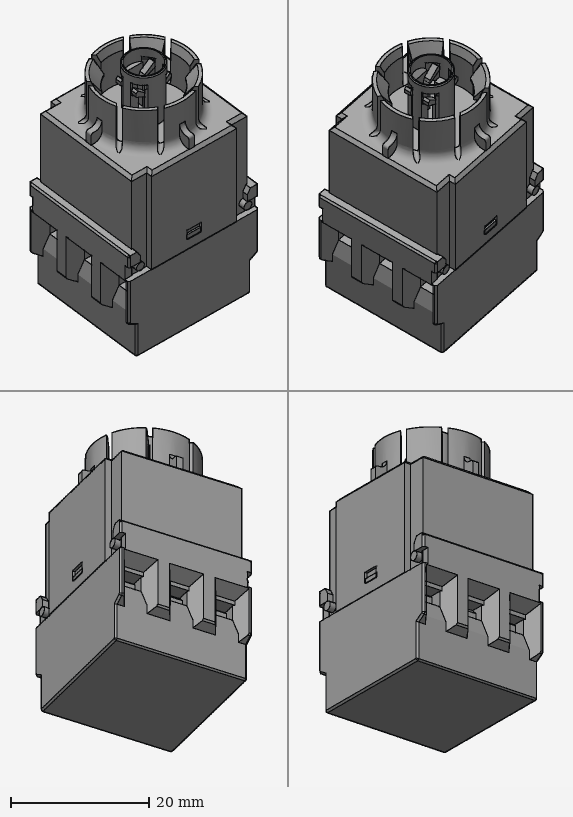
import cadquery as cq
import math

total_height = 43.0
body_width = 22.2
base_width = 22.0
skirt_depth = 25.0
edge_chamfer = 0.3
foot_bevel = 0.25

skirt_low_z = 6.15
skirt_edge_z = 6.92
skirt_bevel = 0.17
base_top_z = 15.2
lug_low_z = 17.75
plate_top_z = 20.05
deck_z = 33.45
collar_top_z = 41.0

notch_half_x = 10.0
notch_half_y = 8.15
deck_chamfer = 0.55

plate_end_x = 10.15
lug_inner_y = 10.28
lug_top_y = 10.9
lug_slope_z = 19.05
pin_diameter = 1.5
pin_y = 10.3

funnel_pitch = 7.6
funnel_half_mouth = 2.85
funnel_top_z = 14.95
hole_half_width = 1.38
hole_low_z = 10.28
hole_top_z = 12.75
lintel_top_z = 13.45
lintel_y = -10.5
sill_y = -10.2
ramp_low_z = 7.55
hole_depth = 2.15
middle_clamp_rise = 0.8
outer_clamp_rise = 0.3

collar_radius = 8.5
collar_inner_radius = 7.3
collar_mouth_radius = 7.9
mouth_depth = 1.4
flare_radius = 1.5
slot_offset = 3.0
slot_width = 0.9
slot_floor_z = deck_z + 0.01
lip_radius = 6.25
lip_edge_z = 38.6
lip_thickness = 0.35
lip_angle = 38.0

fin_width = 1.08
fin_outer = 10.58
fin_shelf_z = 35.6
fin_curve_radius = 1.3
fin_corner_radius = 0.45
fin_root = 0.45

tube_radius = 6.8 / 2
tube_bore_radius = 6.05 / 2
tube_chamfer = 0.17
window_top_z = 41.4
window_x = 0.8
window_y = 1.75
shelf_x = 2.25
shelf_z = 40.55
ramp_shelf_inner_z = 40.08
ramp_shelf_outer_z = 41.25
tab_z = 38.7
hook_inner_x = 1.15
hook_crest_y = 3.05
hook_crest_z = 40.6
hook_nose_drop = 0.35
hook_thickness = 0.65
hook_tip_z = 37.4
long_hook_step_y = 1.2
long_hook_step_z = 39.15
long_hook_tip_y = 0.75
short_hook_step_y = 1.7
short_hook_step_z = 39.17
short_hook_tip_y = 1.05

latch_half_width = 1.38
latch_low_z = 17.05
latch_step_z = 17.9
latch_top_z = 18.88
latch_deep = 0.45
latch_shallow = 0.15
latch_corner_radius = 0.2

half_body = body_width / 2
half_base = base_width / 2
half_skirt = skirt_depth / 2


def box(x_range, y_range, z_range):
    """Box between pairs of limits."""
    spans = (x_range, y_range, z_range)
    size = [high - low for low, high in spans]
    return cq.Workplane("XY").box(*size, centered=False).translate([low for low, _ in spans])


def yz_prism(points, x_low, x_high):
    """Closed YZ outline swept from x_low to x_high."""
    prism = cq.Workplane("YZ").polyline(points).close().extrude(x_high - x_low)
    return prism.translate((x_low, 0, 0))


def ring_sector(points, angle):
    """Closed (radius, Z) outline turned about the Z axis, centred on +X."""
    turned = cq.Workplane("XZ").polyline(points).close().revolve(angle, (0, 0, 0), (0, 1, 0))
    return turned.rotate((0, 0, 0), (0, 0, 1), -angle / 2)


def turned_about_z(shape, degrees):
    return shape.rotate((0, 0, 0), (0, 0, 1), degrees)


def make_base():
    """Foot, overhanging skirts and skirt plates."""
    right_side = [
        (half_base - foot_bevel, 0),
        (half_base, foot_bevel),
        (half_base, skirt_low_z),
        (half_skirt - skirt_bevel, skirt_edge_z),
        (half_skirt, skirt_edge_z + 2 * skirt_bevel),
        (half_skirt, plate_top_z - edge_chamfer),
        (half_skirt - edge_chamfer, plate_top_z),
    ]
    left_side = [(-y, z) for y, z in reversed(right_side)]
    base = yz_prism(right_side + left_side, -half_base, half_base)
    base = base.faces("<X or >X").edges().chamfer(edge_chamfer)
    base = base.cut(box((-half_body, half_body), (-half_body, half_body), (base_top_z, plate_top_z)))
    for side in (-1, 1):
        end = sorted((side * plate_end_x, side * half_skirt))
        base = base.cut(box(end, (-half_skirt, half_skirt), (base_top_z, lug_low_z)))
    return base


def make_upper_housing():
    """Square housing with a notch down each corner."""
    height = deck_z - base_top_z
    across = cq.Workplane("XY").rect(body_width, 2 * notch_half_y).extrude(height)
    along = cq.Workplane("XY").rect(2 * notch_half_x, body_width).extrude(height)
    housing = across.union(along).faces(">Z").edges().chamfer(deck_chamfer)
    return housing.translate((0, 0, base_top_z))


def make_corner_lug():
    """Lug and pin in the -X, -Y corner notch."""
    lug_outline = [
        (-half_skirt + edge_chamfer, lug_low_z),
        (-lug_inner_y, lug_low_z),
        (-lug_inner_y, lug_slope_z),
        (-lug_top_y, plate_top_z),
        (-half_skirt + edge_chamfer, plate_top_z),
    ]
    lug = yz_prism(lug_outline, -half_base, -notch_half_x)
    pin_z = lug_low_z - pin_diameter / 2
    pin = cq.Workplane("YZ").center(-pin_y, pin_z).circle(pin_diameter / 2).extrude(half_body - notch_half_x)
    return lug.union(pin.translate((-half_body, 0, 0)))


def make_funnel(clamp_rise):
    """Cutter for one terminal funnel on the -Y side, centred on X = 0."""
    side_outline = [
        (-half_skirt, skirt_low_z - edge_chamfer),
        (-half_skirt, funnel_top_z),
        (lintel_y, lintel_top_z),
        (lintel_y, hole_top_z),
        (sill_y, hole_top_z),
        (sill_y, hole_low_z),
        (-half_base, ramp_low_z),
        (-half_base, skirt_low_z - edge_chamfer),
    ]
    plan = [
        (-funnel_half_mouth, -half_skirt),
        (funnel_half_mouth, -half_skirt),
        (hole_half_width, sill_y),
        (-hole_half_width, sill_y),
    ]
    mouth = yz_prism(side_outline, -funnel_half_mouth, funnel_half_mouth)
    mouth = mouth.intersect(cq.Workplane("XY").polyline(plan).close().extrude(plate_top_z))
    back_y = sill_y + hole_depth
    clamp_front_y = back_y - clamp_rise
    hole_outline = [
        (sill_y, hole_low_z),
        (clamp_front_y, hole_low_z),
        (clamp_front_y, hole_top_z - clamp_rise),
        (back_y, hole_top_z),
        (sill_y, hole_top_z),
    ]
    return mouth.union(yz_prism(hole_outline, -hole_half_width, hole_half_width))


def make_latch_recess():
    """Stepped shallow recess cutter with rounded lower corners, on the -X side."""
    width = (-latch_half_width, latch_half_width)
    upper = box((-half_body, -half_body + latch_deep), width, (latch_step_z, latch_top_z))
    lower = box((-half_body, -half_body + latch_shallow), width, (latch_low_z, latch_step_z))
    lower = lower.edges("|X and <Z").fillet(latch_corner_radius)
    return upper.union(lower)


def make_collar():
    """Flared collar with inward lips, split into eight segments by diagonal slots."""
    flare_mid = flare_radius * (1 - math.sqrt(0.5))
    collar = (
        cq.Workplane("XZ")
        .moveTo(collar_inner_radius, deck_z)
        .lineTo(collar_radius + flare_radius, deck_z)
        .threePointArc((collar_radius + flare_mid, deck_z + flare_mid), (collar_radius, deck_z + flare_radius))
        .lineTo(collar_radius, collar_top_z)
        .lineTo(collar_mouth_radius, collar_top_z)
        .lineTo(collar_inner_radius, collar_top_z - mouth_depth)
        .close()
        .revolve(360, (0, 0, 0), (0, 1, 0))
    )
    lip = ring_sector(
        [
            (collar_mouth_radius, collar_top_z),
            (lip_radius, lip_edge_z),
            (lip_radius, lip_edge_z - lip_thickness),
            (collar_mouth_radius, lip_edge_z - lip_thickness),
        ],
        lip_angle,
    )
    slot_reach = collar_radius + 2 * flare_radius
    slot_low_z = slot_floor_z + slot_width / 2
    slot = (
        cq.Workplane("YZ")
        .moveTo(-slot_width / 2, total_height)
        .lineTo(-slot_width / 2, slot_low_z)
        .threePointArc((0, slot_floor_z), (slot_width / 2, slot_low_z))
        .lineTo(slot_width / 2, total_height)
        .close()
        .extrude(2 * slot_reach)
        .translate((-slot_reach, 0, 0))
    )
    diagonals = (45, 135, 225, 315)
    for diagonal in diagonals:
        collar = collar.union(turned_about_z(lip, diagonal))
    for diagonal in diagonals:
        collar = collar.cut(turned_about_z(slot.translate((0, slot_offset, 0)), diagonal))
    return collar


def make_fin():
    """Fin on the +X side of the collar, curving up into its wall."""
    curve_end = collar_radius + fin_curve_radius
    curve_mid = fin_curve_radius * (1 - math.sqrt(0.5))
    return (
        cq.Workplane("XZ")
        .moveTo(collar_radius - fin_root, deck_z - deck_chamfer)
        .lineTo(fin_outer, deck_z - deck_chamfer)
        .lineTo(fin_outer, fin_shelf_z)
        .lineTo(curve_end, fin_shelf_z)
        .threePointArc(
            (collar_radius + curve_mid, fin_shelf_z + curve_mid),
            (collar_radius, fin_shelf_z + fin_curve_radius),
        )
        .lineTo(collar_radius - fin_root, fin_shelf_z + fin_curve_radius)
        .close()
        .extrude(fin_width / 2, both=True)
        .edges(cq.selectors.NearestToPointSelector((fin_outer, 0, fin_shelf_z)))
        .fillet(fin_corner_radius)
    )


def make_hook(step_y, step_z, tip_y):
    """Upright leg with an arm that rises outward through a window, in the +X, +Y quarter."""
    outline = [
        (tip_y, deck_z),
        (tip_y, hook_tip_z),
        (step_y, step_z),
        (hook_crest_y, hook_crest_z),
        (tube_radius, hook_crest_z - hook_nose_drop),
        (tube_radius, hook_crest_z - hook_nose_drop - hook_thickness),
        (step_y, step_z - hook_thickness),
        (step_y, deck_z),
    ]
    return yz_prism(outline, hook_inner_x, shelf_x)


def make_tube():
    """Central tube with four windows, two side shelves, two tabs and four hooks."""
    height = total_height - deck_z
    tube = cq.Workplane("XY").circle(tube_radius).extrude(height).faces(">Z").edges().chamfer(tube_chamfer)
    tube = tube.translate((0, 0, deck_z))
    core = cq.Workplane("XY").circle(tube_bore_radius).extrude(height).translate((0, 0, deck_z))
    tube = tube.cut(core)
    flat_shelf = box((-tube_radius, -shelf_x), (-window_y, window_y), (deck_z, shelf_z))
    ramp_outline = [
        (shelf_x, deck_z),
        (tube_radius, deck_z),
        (tube_radius, ramp_shelf_outer_z),
        (shelf_x, ramp_shelf_inner_z),
    ]
    ramp_shelf = cq.Workplane("XZ").polyline(ramp_outline).close().extrude(window_y, both=True)
    tab = box((-window_x, window_x), (window_y, tube_radius), (deck_z, tab_z))
    for inner_block in (flat_shelf, ramp_shelf, tab, tab.mirror("XZ")):
        tube = tube.union(core.intersect(inner_block))
    for x_side in (-1, 1):
        for y_side in (-1, 1):
            x_range = sorted((x_side * window_x, x_side * tube_radius))
            y_range = sorted((y_side * window_y, y_side * tube_radius))
            tube = tube.cut(box(x_range, y_range, (deck_z, window_top_z)))
    long_hook = make_hook(long_hook_step_y, long_hook_step_z, long_hook_tip_y).mirror("YZ")
    short_hook = make_hook(short_hook_step_y, short_hook_step_z, short_hook_tip_y)
    for side in (0, 180):
        tube = tube.union(turned_about_z(long_hook, side)).union(turned_about_z(short_hook, side))
    return tube


part = make_base().union(make_upper_housing())

lug_pair = make_corner_lug()
lug_pair = lug_pair.union(lug_pair.mirror("XZ"))
part = part.union(lug_pair).union(lug_pair.mirror("YZ"))

for column in (-1, 0, 1):
    rise = middle_clamp_rise if column == 0 else outer_clamp_rise
    funnel = make_funnel(rise).translate((column * funnel_pitch, 0, 0))
    part = part.cut(funnel).cut(funnel.mirror("XZ"))

recess = make_latch_recess()
part = part.cut(recess).cut(recess.mirror("YZ"))

part = part.union(make_collar())
for quarter in (0, 90, 180, 270):
    part = part.union(turned_about_z(make_fin(), quarter))

result = part.union(make_tube())